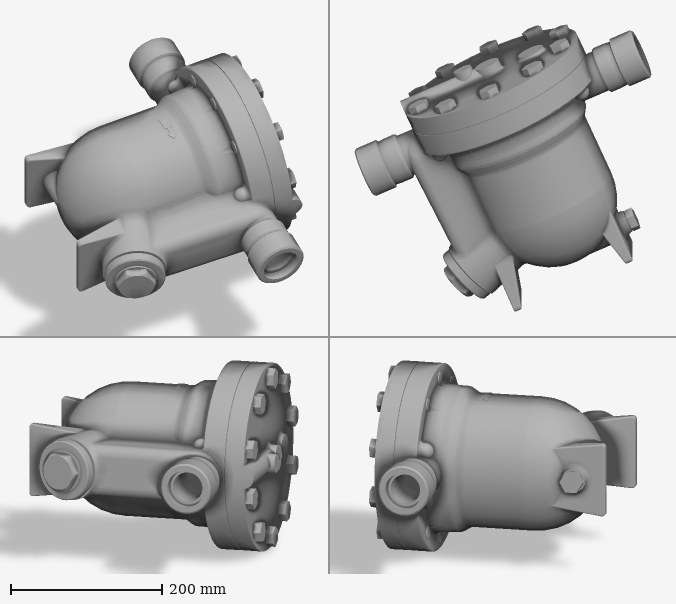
import cadquery as cq
import math


flange_radius = 125.0
flange_edge_round = 2.0
flange_top = 30.2
gasket_radius = 123.5
gasket_top = 31.6
cover_top = 56.6
neck_radius = 98.7
neck_flare = 4.5
neck_taper_end = -25.0
neck_end_radius = 97.0
neck_end = -32.8
neck_round = 8.8
neck_cone_angle = 32.0
barrel_radius = 89.0
barrel_top = 20.0
barrel_fillet = 10.0
dome_center = -134.2

bolt_count = 10
bolt_circle_radius = 107.2
bolt_diameter = 18.0
bolt_end_height = 1.2
relief_diameter = 18.9
relief_depth = 20.0
bolt_head_flats = 24.0
bolt_head_height = 10.0
blind_bolts = (2, 3, 7, 8)
blind_boss_radius = 11.1
blind_boss_depth = 18.0
blind_boss_flare = 5.0

hub_radius = 17.0
hub_top = 70.4
rib_radius = 15.5
rib_axis = hub_top - rib_radius
port_position = 32.3
port_radius = 12.5
port_top = 77.0
side_boss_position = -60.0
side_boss_radius = 18.0
side_boss_height = 6.0
cover_flare = 5.0

inlet_face = -192.8
outlet_face = 208.2
pipe_radius = 28.0
collar_radius = 31.5
collar_groove_radius = 30.6
collar_length = 61.0
collar_run_out = 5.7
groove_start = 33.0
groove_end = 41.5
socket_radius = 34.0
socket_length = 31.0
pipe_root = 70.0
socket_chamfer = 2.2
socket_bore_radius = 24.75
socket_bore_depth = 12.0
flow_bore_radius = 20.0
flow_bore_depth = 80.0

passage_half_width = 34.0
passage_axis = -7.5
passage_outer = 146.7
passage_draft = 2.2
passage_bottom = -155.0
passage_round = 14.5

root_fillet = 11.0
neck_passage_fillet = 4.0

strainer_tilt = 20.0
strainer_seat = (136.0, -179.7)
strainer_radius = 42.0
strainer_gap = 2.0
strainer_gasket_radius = 36.0
strainer_body_length = 125.0
cap_radius = 40.0
cap_thickness = 12.2
cap_chamfer = 1.5
cap_step_radius = 28.0
cap_step_thickness = 2.2
cap_hex_flats = 46.0
cap_hex_height = 11.0
cap_hex_chamfer = 3.0

foot_bottom = -244.0
foot_top = -168.0
foot_bottom_half_width = 49.7
foot_side_angle = 7.5
foot_tip_thickness = 9.8
foot_back_angle = 14.5
foot_corner_round = 5.0
foot_edge_round = 2.0
left_foot_face = -71.0
right_foot_face = 100.0
left_foot_fillet = 1.8
right_foot_fillet = 3.0

drain_axis = -203.0
drain_radius = 20.0
drain_boss_radius = 16.0
drain_boss_face = -79.0
drain_boss_flare = 6.0
drain_washer_radius = 15.0
drain_washer_thickness = 3.0
drain_neck_radius = 12.0
drain_neck_length = 1.6
drain_hex_flats = 26.6
drain_hex_height = 10.0

arrow_center = (-3.0, -65.0)
arrow_length = 40.0
arrow_head_length = 8.5
arrow_head_half_width = 6.0
arrow_tail_length = 20.0
arrow_tail_half_width = 5.3
arrow_notch = 4.0
arrow_shaft_half_width = 2.0
arrow_height = 1.0


def cylinder(start, direction, radius, length):
    axis = cq.Vector(*direction)
    return cq.Workplane(cq.Solid.makeCylinder(radius, length, cq.Vector(*start), axis))


def hexagon(start, direction, corner_direction, flats, length):
    plane = cq.Plane(origin=start, xDir=corner_direction, normal=direction)
    corners = flats / math.cos(math.radians(30))
    return cq.Workplane(plane).polygon(6, corners).extrude(length)


def flared_pad(center_x, center_z, base, side, radius, height, flare):
    """Round pad on a face at Y = base, standing toward side * Y, with a concave flare at its foot."""
    bend = flare * (1 - math.sqrt(0.5))
    return (
        cq.Workplane("XY")
        .lineTo(radius + flare, 0)
        .threePointArc((radius + bend, side * bend), (radius, side * flare))
        .lineTo(radius, side * height)
        .lineTo(0, side * height)
        .close()
        .revolve(360, (0, 0), (0, 1))
        .translate((center_x, base, center_z))
    )


def make_flange_and_neck():
    """Body flange and tapered neck, narrowing through a cone to the barrel."""
    bend = neck_flare * (1 - math.sqrt(0.5))
    turn = math.radians(neck_cone_angle)
    cone_radius = neck_end_radius - neck_round * (1 - math.cos(turn))
    cone_start = neck_end - neck_round * math.sin(turn)
    barrel_start = cone_start - (cone_radius - barrel_radius) / math.tan(turn)
    blank = (
        cq.Workplane("XY")
        .moveTo(0, flange_top)
        .lineTo(flange_radius, flange_top)
        .lineTo(flange_radius, flange_edge_round)
        .radiusArc((flange_radius - flange_edge_round, 0), flange_edge_round)
        .lineTo(neck_radius + neck_flare, 0)
        .threePointArc((neck_radius + bend, -bend), (neck_radius, -neck_flare))
        .lineTo(neck_end_radius, neck_taper_end)
        .lineTo(neck_end_radius, neck_end)
        .radiusArc((cone_radius, cone_start), neck_round)
        .lineTo(barrel_radius, barrel_start)
        .lineTo(barrel_radius, dome_center)
        .lineTo(0, dome_center)
        .close()
        .revolve(360, (0, 0), (0, 1))
    )
    cone_foot = cq.selectors.NearestToPointSelector((-barrel_radius, barrel_start, 0))
    return blank.edges("%CIRCLE").edges(cone_foot).fillet(barrel_fillet)


def make_barrel():
    """Plain barrel closed by a hemisphere."""
    return (
        cq.Workplane("XY")
        .moveTo(0, barrel_top)
        .lineTo(barrel_radius, barrel_top)
        .lineTo(barrel_radius, dome_center)
        .radiusArc((0, dome_center - barrel_radius), barrel_radius)
        .close()
        .revolve(360, (0, 0), (0, 1))
    )


def make_passage():
    """Drafted duct from the outlet pipe down to the strainer, with a half-round top."""
    top = passage_axis + passage_half_width
    lean = math.tan(math.radians(passage_draft))
    top_x = passage_outer + passage_half_width * lean
    bottom_x = passage_outer - (passage_axis - passage_bottom) * lean
    side_view = (
        cq.Workplane("XY", origin=(0, 0, -passage_half_width))
        .polyline([(0, top), (top_x, top), (bottom_x, passage_bottom), (0, passage_bottom)])
        .close()
        .extrude(2 * passage_half_width)
    )
    end_view = (
        cq.Workplane("YZ")
        .moveTo(passage_bottom, -passage_half_width)
        .lineTo(passage_axis, -passage_half_width)
        .threePointArc((top, 0), (passage_axis, passage_half_width))
        .lineTo(passage_bottom, passage_half_width)
        .close()
        .extrude(2 * passage_outer)
    )
    outer_end = cq.selectors.BoxSelector(
        (bottom_x - 1, passage_bottom + 1, -2 * passage_half_width),
        (top_x + 1, top + 1, 2 * passage_half_width),
    )
    return side_view.intersect(end_view).edges(outer_end).fillet(passage_round)


def strainer_direction():
    tilt = math.radians(strainer_tilt)
    return (math.cos(tilt), -math.sin(tilt), 0)


def strainer_point(distance):
    """Point on the strainer axis, measured outward from the cap seat."""
    direction = strainer_direction()
    return (strainer_seat[0] + distance * direction[0], strainer_seat[1] + distance * direction[1], 0)


def make_strainer_body():
    start = strainer_point(-strainer_body_length)
    length = strainer_body_length - strainer_gap
    return cylinder(start, strainer_direction(), strainer_radius, length)


def blend_junctions(merged, parts, highest, radius):
    """Fillet the edges of the merged solid where the skins of two parts meet, up to Y = highest."""
    skins = [part.val().Shells()[0] for part in parts]
    touch = 0.01

    def is_junction(edge):
        middle = cq.Vertex.makeVertex(*edge.positionAt(0.5).toTuple())
        low_enough = edge.BoundingBox().ymax < highest + touch
        return low_enough and sum(skin.distance(middle) < touch for skin in skins) > 1

    return merged.newObject([edge for edge in merged.edges().vals() if is_junction(edge)]).fillet(radius)


def make_vessel():
    """Barrel, outlet passage and strainer body, blended along the edges where they meet."""
    parts = [make_barrel(), make_passage(), make_strainer_body()]
    vessel = parts[0].union(parts[1]).union(parts[2])
    return blend_junctions(vessel, parts, passage_axis, root_fillet)


def make_cap():
    """Strainer gasket, round cap and its hexagon."""
    direction = strainer_direction()
    in_plane = (-direction[1], direction[0], 0)
    gasket = cylinder(strainer_point(-strainer_gap), direction, strainer_gasket_radius, strainer_gap)
    cap = cylinder(strainer_point(0), direction, cap_radius, cap_thickness)
    cap = cap.edges(cq.selectors.NearestToPointSelector(strainer_point(cap_thickness))).chamfer(cap_chamfer)
    step = cylinder(strainer_point(cap_thickness), direction, cap_step_radius, cap_step_thickness)
    hex_start = strainer_point(cap_thickness + cap_step_thickness)
    head = hexagon(hex_start, direction, in_plane, cap_hex_flats, cap_hex_height)
    turned = cylinder(hex_start, direction, cap_hex_flats / 2 + cap_hex_chamfer, cap_hex_height)
    hex_end = strainer_point(cap_thickness + cap_step_thickness + cap_hex_height)
    turned = turned.edges(cq.selectors.NearestToPointSelector(hex_end)).chamfer(cap_hex_chamfer)
    head = head.intersect(turned)
    return gasket.union(cap).union(step).union(head)


def make_foot(face, inward):
    """Wedge foot with an upright outer face; inward is the X sense from that face to the vessel axis."""
    height = foot_top - foot_bottom
    tip = face + inward * foot_tip_thickness
    back = tip + inward * height * math.tan(math.radians(foot_back_angle))
    top_half_width = foot_bottom_half_width - height * math.tan(math.radians(foot_side_angle))
    wedge = (
        cq.Workplane("XY", origin=(0, 0, -foot_bottom_half_width))
        .polyline([(face, foot_bottom), (tip, foot_bottom), (back, foot_top), (face, foot_top)])
        .close()
        .extrude(2 * foot_bottom_half_width)
    )
    plate = (
        cq.Workplane("YZ", origin=(min(face, back), 0, 0))
        .polyline(
            [
                (foot_bottom, -foot_bottom_half_width),
                (foot_bottom, foot_bottom_half_width),
                (foot_top, top_half_width),
                (foot_top, -top_half_width),
            ]
        )
        .close()
        .extrude(abs(face - back))
    )
    foot = wedge.intersect(plate)
    foot = foot.edges("<Y and |X").fillet(foot_corner_round)
    end_faces = cq.selectors.BoxSelector(
        (min(face, back) - 1, foot_bottom - 1, -foot_bottom_half_width - 1),
        (max(face, back) + 1, foot_top - 1, foot_bottom_half_width + 1),
    )
    return foot.faces("+X or -X or #Z").edges(end_faces).edges("not |X").fillet(foot_edge_round)


def make_drain():
    """Drain boss under the dome with its washer and hexagon plug, along X."""
    outward = (-1, 0, 0)
    core = cylinder((0, drain_axis, 0), outward, drain_radius, -left_foot_face)
    bend = drain_boss_flare * (1 - math.sqrt(0.5))
    boss_length = left_foot_face - drain_boss_face
    boss = (
        cq.Workplane("XY")
        .lineTo(0, drain_boss_radius + drain_boss_flare)
        .threePointArc((-bend, drain_boss_radius + bend), (-drain_boss_flare, drain_boss_radius))
        .lineTo(-boss_length, drain_boss_radius)
        .lineTo(-boss_length, 0)
        .close()
        .revolve(360, (0, 0), (1, 0))
        .translate((left_foot_face, drain_axis, 0))
    )
    washer_face = drain_boss_face - drain_washer_thickness
    washer = cylinder((drain_boss_face, drain_axis, 0), outward, drain_washer_radius, drain_washer_thickness)
    neck = cylinder((washer_face, drain_axis, 0), outward, drain_neck_radius, drain_neck_length)
    head_start = (washer_face - drain_neck_length, drain_axis, 0)
    head = hexagon(head_start, outward, (0, 1, 0), drain_hex_flats, drain_hex_height)
    return core.union(boss).union(washer).union(neck).union(head)


def make_pipe(face, side):
    """Pipe with a collar and socket; side is the X sense in which it points."""

    def at(distance, radius):
        return (face - side * distance, radius)

    run_out_start = collar_length - collar_run_out
    run_out_middle = at(collar_length - collar_run_out / 2, (collar_radius + pipe_radius) / 2)
    return (
        cq.Workplane("XY")
        .moveTo(*at(0, 0))
        .lineTo(*at(0, socket_radius - socket_chamfer))
        .lineTo(*at(socket_chamfer, socket_radius))
        .lineTo(*at(socket_length, socket_radius))
        .lineTo(*at(groove_start, collar_groove_radius))
        .lineTo(*at(groove_end, collar_radius))
        .lineTo(*at(run_out_start, collar_radius))
        .tangentArcPoint(run_out_middle, relative=False)
        .tangentArcPoint(at(collar_length, pipe_radius), relative=False)
        .lineTo(side * pipe_root, pipe_radius)
        .lineTo(side * pipe_root, 0)
        .close()
        .revolve(360, (0, 0), (1, 0))
    )


def make_pipe_bore(face, side):
    inward = (-side, 0, 0)
    socket = cylinder((face, 0, 0), inward, socket_bore_radius, socket_bore_depth)
    return socket.union(cylinder((face, 0, 0), inward, flow_bore_radius, flow_bore_depth))


def make_cover():
    """Gasket, cover plate and the bosses on the cover."""
    axis = (0, 1, 0)
    gasket = cylinder((0, flange_top, 0), axis, gasket_radius, gasket_top - flange_top)
    plate = cylinder((0, gasket_top, 0), axis, flange_radius, cover_top - gasket_top)
    hub = flared_pad(0, 0, cover_top, 1, hub_radius, hub_top - cover_top, cover_flare)
    side_boss = flared_pad(side_boss_position, 0, cover_top, 1, side_boss_radius, side_boss_height, cover_flare)
    envelope = cylinder((0, gasket_top, 0), axis, flange_radius, port_top - gasket_top)
    rib = cylinder((0, rib_axis, 0), (1, 0, 0), rib_radius, flange_radius).intersect(envelope)
    port = cylinder((port_position, cover_top, 0), axis, port_radius, port_top - cover_top)
    return gasket.union(plate).union(hub).union(side_boss).union(rib).union(port)


def bolt_position(index):
    """X, Z and the outward direction of one bolt, counted round from +Z."""
    angle = index * 2 * math.pi / bolt_count
    outward = (math.sin(angle), 0, math.cos(angle))
    return bolt_circle_radius * outward[0], bolt_circle_radius * outward[2], outward


def cut_bolt_reliefs(body):
    """Clearance for the through bolts where they graze the neck."""
    for index in range(bolt_count):
        x, z, _ = bolt_position(index)
        if index not in blind_bolts:
            body = body.cut(cylinder((x, 0, z), (0, -1, 0), relief_diameter / 2, relief_depth))
    return body


def add_bolts(body):
    """Hexagon heads on the cover, with bolt ends or domed blind bosses below the flange."""
    for index in range(bolt_count):
        x, z, outward = bolt_position(index)
        body = body.union(hexagon((x, cover_top, z), (0, 1, 0), outward, bolt_head_flats, bolt_head_height))
        if index in blind_bolts:
            straight = blind_boss_depth - blind_boss_radius
            boss = flared_pad(x, z, 0, -1, blind_boss_radius, straight, blind_boss_flare)
            dome = cq.Workplane("XY").sphere(blind_boss_radius).translate((x, -straight, z))
            body = body.union(boss).union(dome)
        else:
            shank_length = flange_top + bolt_end_height
            body = body.union(cylinder((x, flange_top, z), (0, -1, 0), bolt_diameter / 2, shank_length))
    return body


def make_arrow():
    """Raised flow arrow on top of the barrel, pointing to the outlet."""
    tail = -arrow_length / 2
    tip = arrow_length / 2
    neck = tail + arrow_tail_length
    head = tip - arrow_head_length
    upper = [
        (tail + arrow_notch, 0),
        (tail, arrow_tail_half_width),
        (neck, arrow_tail_half_width),
        (neck, arrow_shaft_half_width),
        (head, arrow_shaft_half_width),
        (head, arrow_head_half_width),
        (tip, 0),
    ]
    lower = [(along, -across) for along, across in reversed(upper[1:-1])]
    blank = cq.Workplane("XY").polyline(upper + lower).close().extrude(barrel_radius + arrow_height)
    blank = blank.translate((arrow_center[0], arrow_center[1], 0))
    envelope = cylinder((0, 0, 0), (0, -1, 0), barrel_radius + arrow_height, -dome_center)
    return blank.intersect(envelope)


def make_neck_with_passage():
    """Flange and neck, blended into the outlet passage that runs down past them."""
    parts = [make_flange_and_neck(), make_passage()]
    return blend_junctions(parts[0].union(parts[1]), parts, passage_axis, neck_passage_fillet)


def add_foot(body, foot, fillet):
    return blend_junctions(body.union(foot), [body, foot], 0, fillet)


result = make_vessel()
result = add_foot(result, make_foot(left_foot_face, 1), left_foot_fillet)
result = add_foot(result, make_foot(right_foot_face, -1), right_foot_fillet)
result = cut_bolt_reliefs(result.union(make_neck_with_passage()))
result = result.union(make_cap())
result = result.union(make_drain())
result = result.union(make_pipe(inlet_face, -1)).union(make_pipe(outlet_face, 1))
result = result.union(make_cover())
result = add_bolts(result)
result = result.union(make_arrow())
result = result.cut(make_pipe_bore(inlet_face, -1)).cut(make_pipe_bore(outlet_face, 1))